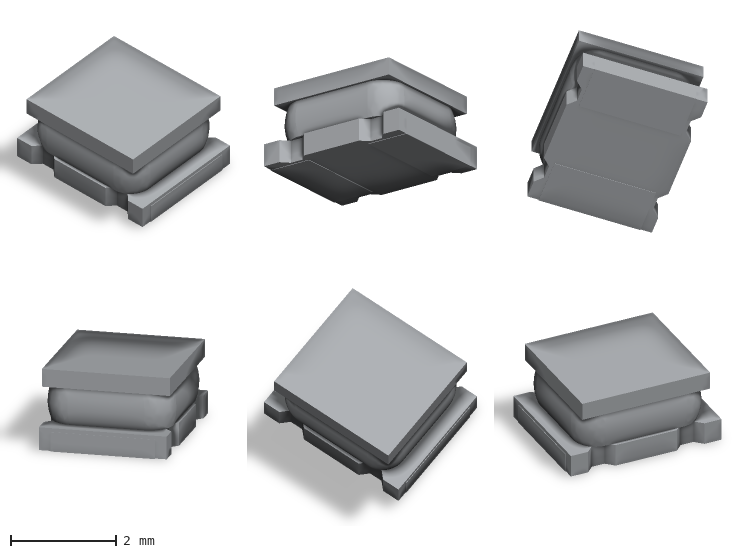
import cadquery as cq

length = 3.2
width = 2.51
height = 1.55

plating = 0.01
terminal_width = 2.048
terminal_height = 0.385
terminal_foot = 0.9

base_length = length - 2 * plating
base_thickness = 0.45
base_top = plating + base_thickness
cap_length = 2.7
cap_thickness = 0.352

notch_center = 0.938
notch_mouth = 0.582
notch_floor = 0.27
notch_depth = 0.157

winding_height = height - base_top - cap_thickness
winding_bulge = 0.065
winding_corner_radius = 0.5


def plate(size_x, size_y, thickness, bottom):
    """Rectangular plate centered on the Z axis."""
    return (
        cq.Workplane("XY")
        .workplane(offset=bottom)
        .rect(size_x, size_y)
        .extrude(thickness)
    )


def notch(x_side, y_side):
    """Cutter for one notch, narrowing inward from the base edge."""
    edge_y = y_side * width / 2
    floor_y = edge_y - y_side * notch_depth
    center_x = x_side * notch_center
    return (
        cq.Workplane("XY")
        .workplane(offset=plating)
        .moveTo(center_x - notch_mouth / 2, edge_y)
        .lineTo(center_x - notch_floor / 2, floor_y)
        .lineTo(center_x + notch_floor / 2, floor_y)
        .lineTo(center_x + notch_mouth / 2, edge_y)
        .close()
        .extrude(base_thickness)
    )


def bulged_bar(plane, span, depth):
    """Bar with flat top and bottom and arc-shaped sides, extruded across the part."""
    middle_z = base_top + winding_height / 2
    top_z = base_top + winding_height
    flat_half = span / 2 - winding_bulge
    return (
        cq.Workplane(plane)
        .moveTo(-flat_half, base_top)
        .lineTo(flat_half, base_top)
        .threePointArc((span / 2, middle_z), (flat_half, top_z))
        .lineTo(-flat_half, top_z)
        .threePointArc((-span / 2, middle_z), (-flat_half, base_top))
        .close()
        .extrude(depth / 2, both=True)
    )


def make_winding():
    """Winding bulging on all four sides, with rounded upright corners."""
    along_x = bulged_bar("XZ", cap_length, width)
    along_y = bulged_bar("YZ", width, cap_length)
    block = along_x.intersect(along_y)
    upright_edges = block.edges("not(#Z)")
    return upright_edges.fillet(winding_corner_radius)


def terminal(x_side):
    """Thin plating that covers one end of the base and folds under it."""
    center_x = x_side * (length - terminal_foot) / 2
    block = plate(terminal_foot, terminal_width, terminal_height, 0)
    return block.translate((center_x, 0, 0))


base = plate(base_length, width, base_thickness, plating)
for x_side in (-1, 1):
    for y_side in (-1, 1):
        base = base.cut(notch(x_side, y_side))

for x_side in (-1, 1):
    base = base.union(terminal(x_side))

cap = plate(cap_length, width, cap_thickness, height - cap_thickness)
result = base.union(make_winding()).union(cap)